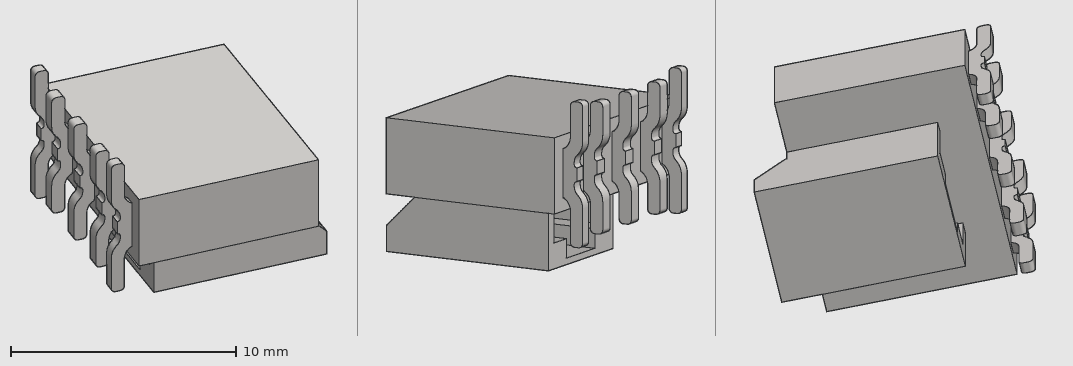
import cadquery as cq


HOUSING_WIDTH = 10.72
HOUSING_DEPTH = 8.67
HOUSING_HEIGHT = 3.46

LATCH_WIDTH = 5.66
LATCH_WALL = 0.5
LATCH_HEIGHT = 3.23
LATCH_FLOOR = 1.18
LATCH_FRONT = 1.8
LATCH_OVERHANG = 1.48
LATCH_SHOULDER = 2.65

SLOT_WIDTH = 2.47
SLOT_BOTTOM = 0.3
SLOT_OVERHANG = 0.19

INNER_PIN_PITCH = 2.5
INNER_PIN_WIDTH = 0.65
INNER_PIN_LENGTH = 6.0
OUTER_PIN_X = 4.32
OUTER_PIN_WIDTH = 0.52
OUTER_PIN_LENGTH = 6.61
PIN_REACH = 1.0
PIN_THICKNESS = 0.64
PIN_TIP_RADIUS = 0.21
PIN_CENTER_Z = 4.94

ROOT_HALF = 1.12
BACK_BEND_HALF = 1.67
FRONT_BEND_HALF = 1.51
INFLECTION_HALF = 0.9
NECK_HALF = 0.55
NECK_REACH = 0.57
PAD_HALF = 0.31
PAD_REACH = 0.71

housing_rear = HOUSING_DEPTH
latch_rear = housing_rear + LATCH_OVERHANG


def make_housing():
    return (
        cq.Workplane("XY", origin=(0, 0, LATCH_HEIGHT))
        .rect(HOUSING_WIDTH, HOUSING_DEPTH)
        .extrude(HOUSING_HEIGHT)
        .translate((0, HOUSING_DEPTH / 2, 0))
    )


def channel_cut(width, bottom, start, end):
    """Block centred on X that opens everything from bottom up to the housing."""
    return cq.Workplane("XY").box(
        width, end - start, LATCH_HEIGHT - bottom, centered=(True, False, False)
    ).translate((0, start, bottom))


def make_latch():
    side = (
        cq.Workplane("YZ")
        .moveTo(LATCH_FRONT, 0)
        .lineTo(latch_rear, 0)
        .lineTo(latch_rear, LATCH_FLOOR)
        .lineTo(housing_rear, LATCH_SHOULDER)
        .lineTo(housing_rear, LATCH_HEIGHT)
        .lineTo(LATCH_FRONT, LATCH_HEIGHT)
        .close()
        .extrude(LATCH_WIDTH / 2, both=True)
    )
    channel = channel_cut(LATCH_WIDTH - 2 * LATCH_WALL, LATCH_FLOOR, LATCH_FRONT, latch_rear)
    slot = channel_cut(SLOT_WIDTH, SLOT_BOTTOM, LATCH_FRONT, housing_rear + SLOT_OVERHANG)
    return side.cut(channel).cut(slot)


def make_pin(x_center, width, length):
    """Upper half of the bent pin, mirrored about its middle."""
    tip = length / 2
    back_reach = PIN_REACH - PIN_THICKNESS
    fillet = PAD_REACH - NECK_REACH

    chord_share = (INFLECTION_HALF - NECK_HALF) / (FRONT_BEND_HALF - NECK_HALF)
    inflection_reach = NECK_REACH + chord_share * (PIN_REACH - NECK_REACH)

    upper_half = (
        cq.Workplane("YZ")
        .moveTo(0, 0)
        .lineTo(-PAD_REACH, 0)
        .lineTo(-PAD_REACH, PAD_HALF)
        .radiusArc((-NECK_REACH, PAD_HALF + fillet), -fillet)
        .lineTo(-NECK_REACH, NECK_HALF)
        .tangentArcPoint((-inflection_reach, INFLECTION_HALF), relative=False)
        .tangentArcPoint((-PIN_REACH, FRONT_BEND_HALF), relative=False)
        .lineTo(-PIN_REACH, tip - PIN_TIP_RADIUS)
        .tangentArcPoint((-PIN_REACH + PIN_TIP_RADIUS, tip), relative=False)
        .lineTo(-back_reach - PIN_TIP_RADIUS, tip)
        .tangentArcPoint((-back_reach, tip - PIN_TIP_RADIUS), relative=False)
        .lineTo(-back_reach, BACK_BEND_HALF)
        .tangentArcPoint((0, ROOT_HALF), relative=False)
        .close()
        .extrude(width / 2, both=True)
    )
    pin = upper_half.union(upper_half.mirror("XY"))
    return pin.translate((x_center, 0, PIN_CENTER_Z))


result = make_housing().union(make_latch())
for step in (-1, 0, 1):
    result = result.union(make_pin(step * INNER_PIN_PITCH, INNER_PIN_WIDTH, INNER_PIN_LENGTH))
for side in (-1, 1):
    result = result.union(make_pin(side * OUTER_PIN_X, OUTER_PIN_WIDTH, OUTER_PIN_LENGTH))
result = result.clean()